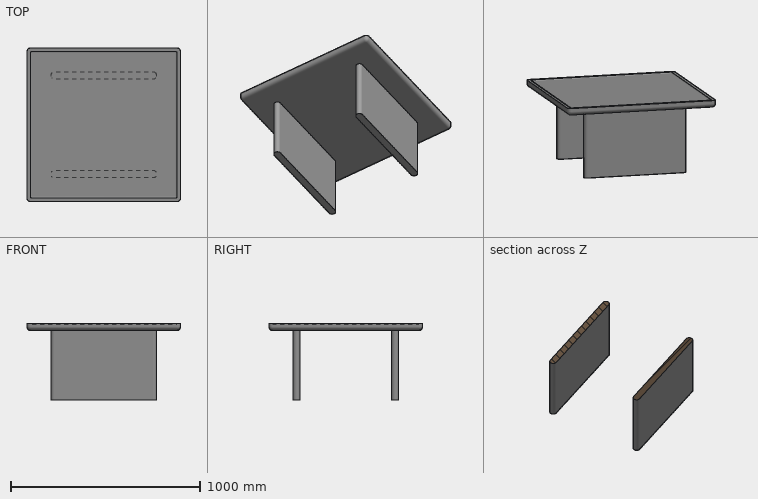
import cadquery as cq

top_side = 812.8
overall_height = 406.4
board_thickness = 38.1
edge_radius = 19.8

rim_width = 20.0
cove_radius = 6.0
tray_floor_side = top_side - 2 * (rim_width + cove_radius)

leg_inset = 127.0
leg_thickness = 38.1
leg_end_radius = 18.5
leg_width = top_side - 2 * leg_inset
leg_height = overall_height - board_thickness
leg_offset = top_side / 2 - leg_inset - leg_thickness / 2


def make_cove_rod(y_center):
    """Round rod along X on the top surface; its lower half cuts one tray wall."""
    return (
        cq.Workplane("YZ")
        .center(y_center, overall_height)
        .circle(cove_radius)
        .extrude(tray_floor_side / 2, both=True)
    )


def make_tray_cut():
    """Flat-floored square tray with cove walls and a ball-shaped hollow at each corner."""
    tray_cut = (
        cq.Workplane("XY")
        .workplane(offset=overall_height - cove_radius)
        .rect(tray_floor_side, tray_floor_side)
        .extrude(cove_radius)
    )
    corner_balls = (
        cq.Workplane("XY")
        .workplane(offset=overall_height)
        .rect(tray_floor_side, tray_floor_side, forConstruction=True)
        .vertices()
        .sphere(cove_radius)
    )
    tray_cut = tray_cut.union(corner_balls)
    for side in (-1, 1):
        rod_along_x = make_cove_rod(side * tray_floor_side / 2)
        rod_along_y = rod_along_x.rotate((0, 0, 0), (0, 0, 1), 90)
        tray_cut = tray_cut.union(rod_along_x).union(rod_along_y)
    return tray_cut


def make_table_top():
    """Square board with rounded corners, a rounded lower edge and a tray."""
    board = (
        cq.Workplane("XY")
        .workplane(offset=leg_height)
        .rect(top_side, top_side)
        .extrude(board_thickness)
        .edges("|Z")
        .fillet(edge_radius)
        .faces("<Z")
        .edges()
        .fillet(edge_radius)
    )
    return board.cut(make_tray_cut())


def make_leg(y_center):
    """Upright panel standing on the floor, centred at y_center."""
    return (
        cq.Workplane("XY")
        .center(0, y_center)
        .rect(leg_width, leg_thickness)
        .extrude(leg_height)
        .edges("|Z")
        .fillet(leg_end_radius)
    )


table_top = make_table_top()
legs = [make_leg(side * leg_offset) for side in (-1, 1)]

result = cq.Compound.makeCompound([table_top.val(), *[leg.val() for leg in legs]])